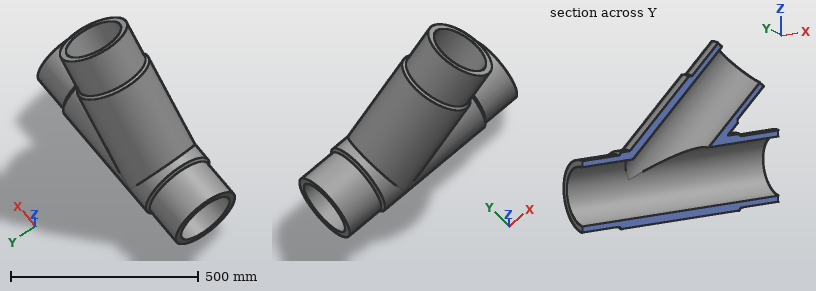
import cadquery as cq
import math

body_diameter = 214.59
spigot_diameter = 200.0
bore_diameter = 163.6
run_length = 605.0
spigot_length = 114.0
branch_position = 191.0
branch_angle = 45.0
total_height = 476.76

body_radius = body_diameter / 2
spigot_radius = spigot_diameter / 2
bore_radius = bore_diameter / 2
shoulder = body_radius - spigot_radius
angle = math.radians(branch_angle)
branch_top = total_height - body_radius
branch_length = (branch_top - spigot_radius * math.cos(angle)) / math.sin(angle)

run_start = cq.Vector(-branch_position, 0, 0)
run_direction = cq.Vector(1, 0, 0)
crossing = cq.Vector(0, 0, 0)
branch_direction = cq.Vector(math.cos(angle), 0, math.sin(angle))


def cylinder(radius, length, start, direction):
    return cq.Workplane(cq.Solid.makeCylinder(radius, length, start, direction))


def thick_body(length, start, direction, chamfered_ends):
    """Larger-diameter pipe section with 45 degree shoulders at the selected ends."""
    return cylinder(body_radius, length, start, direction).edges(chamfered_ends).chamfer(shoulder)


def run_pipe():
    """Straight pipe along X: spigot, thick body, spigot."""
    body_start = run_start + run_direction * spigot_length
    body = thick_body(run_length - 2 * spigot_length, body_start, run_direction, "%CIRCLE")
    return cylinder(spigot_radius, run_length, run_start, run_direction).union(body)


def branch_pipe():
    """Inclined pipe rising from the axis crossing: thick body, then spigot."""
    body = thick_body(branch_length - spigot_length, crossing, branch_direction, ">Z")
    return cylinder(spigot_radius, branch_length, crossing, branch_direction).union(body)


def bores():
    """Through bore of the run joined by the bore of the branch."""
    run_bore = cylinder(bore_radius, run_length, run_start, run_direction)
    branch_bore = cylinder(bore_radius, branch_length, crossing, branch_direction)
    return run_bore.union(branch_bore)


result = run_pipe().union(branch_pipe()).cut(bores())